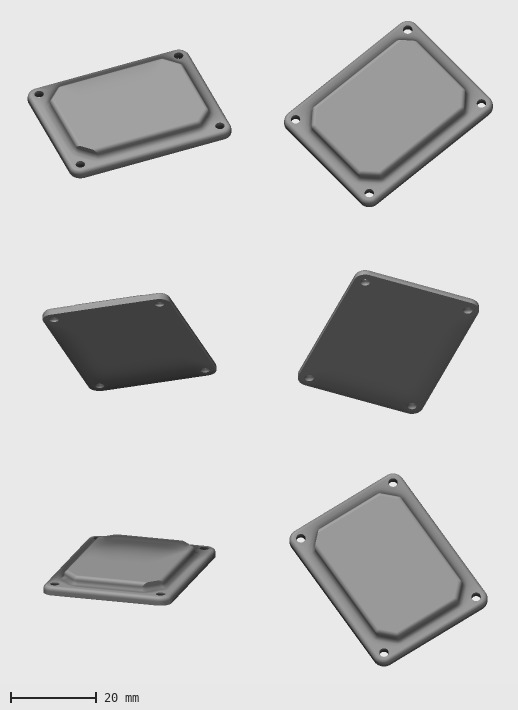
import cadquery as cq

length_x = 31.2
length_y = 40.5
total_height = 4.0
flange_height = total_height / 2
corner_radius = 2.67
hole_diameter = 2.2

panel_inset = 3.52
panel_corner_cut = 3.65
panel_x = length_x - 2 * panel_inset
panel_y = length_y - 2 * panel_inset

blend = flange_height / 2

wall_mid_height = flange_height + blend


def make_flange():
    """Rounded rectangular plate with a rounded upper rim."""
    plate = cq.Workplane("XY").rect(length_x, length_y).extrude(flange_height)
    return plate.edges("|Z").fillet(corner_radius).faces(">Z").edges().fillet(blend)


def make_panel_column(height):
    """Upright prism with the panel outline: cut corners and softened bends."""
    block = cq.Workplane("XY").rect(panel_x, panel_y).extrude(height)
    return block.edges("|Z").chamfer(panel_corner_cut).edges("|Z").fillet(blend)


def make_panel_top():
    """Upper half of the panel, rounded on top except along the +X -Y corner cut."""
    block = cq.Workplane("XY").rect(panel_x, panel_y).extrude(total_height)
    block = block.edges("|Z and (<X or >Y)").chamfer(panel_corner_cut)
    square_corner = cq.selectors.BoxSelector(
        (panel_x / 2 - blend, -panel_y / 2 - blend, 0),
        (panel_x / 2 + blend, -panel_y / 2 + blend, total_height),
    )
    bends = block.edges("|Z").edges(cq.selectors.InverseSelector(square_corner))
    rounded = bends.fillet(blend).faces(">Z").edges().fillet(blend)
    upper_half = rounded.intersect(make_panel_column(total_height))
    return upper_half.cut(cq.Workplane("XY").box(length_x, length_y, 2 * wall_mid_height))


def make_base():
    """Flange with the lower half of the panel and the concave fillet at its foot."""
    base = make_flange().union(make_panel_column(total_height))
    foot = cq.selectors.BoxSelector(
        (-panel_x / 2 - blend, -panel_y / 2 - blend, flange_height - blend / 2),
        (panel_x / 2 + blend, panel_y / 2 + blend, flange_height + blend / 2),
    )
    base = base.edges(foot).fillet(blend)
    return base.intersect(cq.Workplane("XY").box(length_x, length_y, 2 * wall_mid_height))


def make_holes():
    """Through holes concentric with the four rounded flange corners."""
    return (
        cq.Workplane("XY")
        .rect(length_x - 2 * corner_radius, length_y - 2 * corner_radius, forConstruction=True)
        .vertices()
        .circle(hole_diameter / 2)
        .extrude(flange_height)
    )


result = make_base().union(make_panel_top()).cut(make_holes())